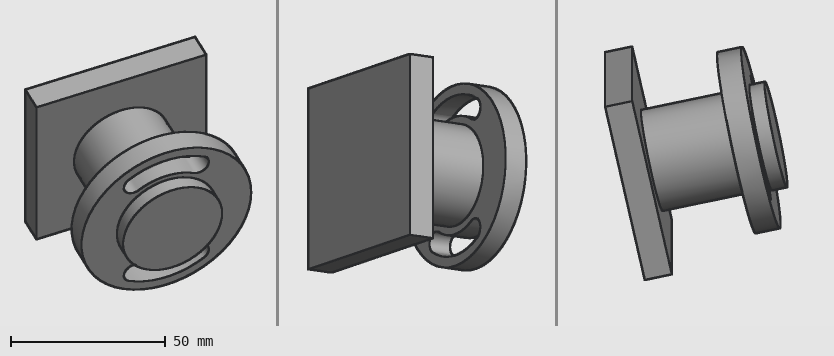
import cadquery as cq
import math

plate_side = 60.0
plate_thickness = 9.0
neck_diameter = 33.5
neck_length = 28.0
flange_diameter = plate_side
flange_thickness = 8.0
boss_diameter = 35.0
boss_length = 5.0

slot_path_radius = 23.0
slot_width = 7.0
slot_half_angle = 30.0
slot_directions = (90.0, 270.0)

flange_start = plate_thickness + neck_length
boss_start = flange_start + flange_thickness


def disc(start, diameter, length):
    """Cylinder on the X axis, beginning at X = start."""
    return cq.Workplane("YZ", origin=(start, 0, 0)).circle(diameter / 2).extrude(length)


def polar_point(radius, angle):
    """Point in the YZ plane, with the angle in degrees from +Y towards +Z."""
    return (radius * math.cos(math.radians(angle)), radius * math.sin(math.radians(angle)))


def curved_slot(direction):
    """Round-ended arc slot centred on the given direction, cutting through the flange."""
    inner_radius = slot_path_radius - slot_width / 2
    outer_radius = slot_path_radius + slot_width / 2
    first = direction - slot_half_angle
    last = direction + slot_half_angle
    end_angle = math.degrees(2 * math.asin(slot_width / (4 * slot_path_radius)))
    return (
        cq.Workplane("YZ", origin=(flange_start, 0, 0))
        .moveTo(*polar_point(inner_radius, first))
        .threePointArc(polar_point(inner_radius, direction), polar_point(inner_radius, last))
        .threePointArc(
            polar_point(slot_path_radius, last + end_angle), polar_point(outer_radius, last)
        )
        .threePointArc(polar_point(outer_radius, direction), polar_point(outer_radius, first))
        .threePointArc(
            polar_point(slot_path_radius, first - end_angle), polar_point(inner_radius, first)
        )
        .close()
        .extrude(flange_thickness)
    )


plate = cq.Workplane("YZ").rect(plate_side, plate_side).extrude(plate_thickness)
neck = disc(plate_thickness, neck_diameter, neck_length)
flange = disc(flange_start, flange_diameter, flange_thickness)
for slot_direction in slot_directions:
    flange = flange.cut(curved_slot(slot_direction))
boss = disc(boss_start, boss_diameter, boss_length)

result = plate.union(neck).union(flange).union(boss)